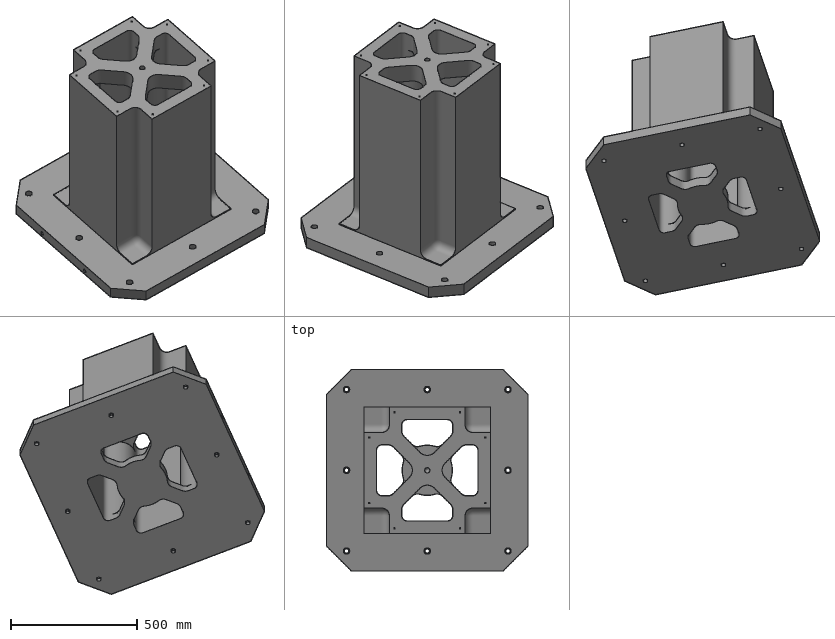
import cadquery as cq
import math

HEIGHT = 800.0
PLATE_SIZE = 800.0
PLATE_THICKNESS = 50.0
PLATE_CORNER = 100.0

COLUMN_SIZE = 500.0
NOTCH_SIZE = 100.0
NOTCH_RADIUS = 30.0
PAD_HEIGHT = 5.0

WALL = 50.0
CORNER_RADIUS = 20.0
INNER_BEND_RADIUS = 66.0
TOP_WEB = 75.0

RIB_WIDTH = 60.0
APEX_RADIUS = 40.0
SHOULDER_RADIUS = 30.0
HUB_DIAMETER = 200.0
HUB_FILLET = 30.0

MOUNT_OFFSET = 320.0
MOUNT_DIAMETER = 18.0
MOUNT_SINK_DIAMETER = 26.0
MOUNT_SINK_DEPTH = 25.0

DRILL_TIP_ANGLE = 118.0
CENTER_DIAMETER = 21.0
CENTER_DEPTH = 40.0
SIDE_DIAMETER = 14.0
SIDE_DEPTH = 40.0
SIDE_OFFSET = 135.0
SIDE_HEIGHT = 18.0
PIN_DIAMETER = 5.0
PIN_DEPTH = 20.0
PIN_EDGE_OFFSET = 20.0

QUARTER_TURNS = (0, 90, 180, 270)

column_half = COLUMN_SIZE / 2
arm_half = column_half - NOTCH_SIZE
cavity_half = column_half - WALL
cavity_arm_half = arm_half - WALL


def level(height):
    """Horizontal workplane at the given height."""
    return cq.Workplane("XY").workplane(offset=height)


def box(width, length, bottom, top):
    """Box centred on the Z axis between two heights."""
    return level(bottom).rect(width, length).extrude(top - bottom)


def four_times(solid):
    """The solid together with its copies at quarter turns about Z."""
    copies = cq.Workplane("XY")
    for angle in QUARTER_TURNS:
        copies = copies.add(solid.rotate((0, 0, 0), (0, 0, 1), angle))
    return copies.combine()


def make_plate():
    return box(PLATE_SIZE, PLATE_SIZE, 0, PLATE_THICKNESS).edges("|Z").chamfer(PLATE_CORNER)


def make_column():
    return box(COLUMN_SIZE, COLUMN_SIZE, PLATE_THICKNESS, HEIGHT)


def make_notch():
    """Cutter for the +X +Y column corner, rounded along its three inner edges."""
    start = (arm_half, arm_half, PLATE_THICKNESS + PAD_HEIGHT)
    reach = 2 * NOTCH_SIZE
    cutter = cq.Workplane("XY").box(reach, reach, HEIGHT, centered=False).translate(start)
    return cutter.edges("(<X and <Y) or (<X and <Z) or (<Y and <Z)").fillet(NOTCH_RADIUS)


def make_cavity():
    """Hollow between the two webs, with rounded ends and large inner bends."""
    bottom, top = PLATE_THICKNESS, HEIGHT - TOP_WEB
    arm_x = box(2 * cavity_half, 2 * cavity_arm_half, bottom, top)
    arm_y = box(2 * cavity_arm_half, 2 * cavity_half, bottom, top)
    arms = arm_x.edges("|Z").fillet(CORNER_RADIUS).union(arm_y.edges("|Z").fillet(CORNER_RADIUS))
    limit = (cavity_half + cavity_arm_half) / 2
    bends = cq.selectors.BoxSelector((-limit, -limit, 0), (limit, limit, HEIGHT))
    return arms.edges("|Z").edges(bends).fillet(INNER_BEND_RADIUS)


def make_window(bottom, top):
    """Window in the +X arm with a sharp apex towards the centre."""
    apex = RIB_WIDTH / math.sqrt(2)
    shoulder = apex + cavity_arm_half
    outline = [
        (apex, 0),
        (shoulder, -cavity_arm_half),
        (cavity_half, -cavity_arm_half),
        (cavity_half, cavity_arm_half),
        (shoulder, cavity_arm_half),
    ]
    window = level(bottom).polyline(outline).close().extrude(top - bottom)
    window = window.edges("|Z and (not <X) and (not >X)").fillet(SHOULDER_RADIUS)
    return window.edges("|Z and >X").fillet(CORNER_RADIUS)


def make_top_window():
    return make_window(HEIGHT - TOP_WEB, HEIGHT).edges("|Z and <X").fillet(APEX_RADIUS)


def make_bottom_window():
    """Window through the plate, stopped short at a round hub."""
    hub = level(0).circle(HUB_DIAMETER / 2).extrude(PLATE_THICKNESS)
    return make_window(0, PLATE_THICKNESS).cut(hub).edges("|Z and <X").fillet(HUB_FILLET)


def make_mount_holes():
    """Eight stepped holes, at the corners and side middles of a square."""
    spots = [(MOUNT_OFFSET, 0), (MOUNT_OFFSET, MOUNT_OFFSET)]
    holes = level(0).pushPoints(spots).circle(MOUNT_DIAMETER / 2).extrude(PLATE_THICKNESS)
    sink_level = level(PLATE_THICKNESS - MOUNT_SINK_DEPTH)
    sinks = sink_level.pushPoints(spots).circle(MOUNT_SINK_DIAMETER / 2).extrude(MOUNT_SINK_DEPTH)
    return four_times(holes.union(sinks))


def make_drilling(diameter, depth):
    """Blind hole going down from the origin, with a conical drill tip."""
    radius = diameter / 2
    tip = radius / math.tan(math.radians(DRILL_TIP_ANGLE / 2))
    profile = [(0, 0), (radius, 0), (radius, -depth), (0, -depth - tip)]
    return cq.Workplane("XZ").polyline(profile).close().revolve(360, (0, 0, 0), (0, 1, 0))


def make_center_hole():
    return make_drilling(CENTER_DIAMETER, CENTER_DEPTH).translate((0, 0, HEIGHT))


def make_side_holes():
    """Two holes drilled along +Y into the -Y edge of the plate."""
    hole = make_drilling(SIDE_DIAMETER, SIDE_DEPTH).rotate((0, 0, 0), (1, 0, 0), 90)
    left = hole.translate((-SIDE_OFFSET, -PLATE_SIZE / 2, SIDE_HEIGHT))
    right = hole.translate((SIDE_OFFSET, -PLATE_SIZE / 2, SIDE_HEIGHT))
    return left.add(right).combine()


def make_pin_holes():
    """Small holes beside the two outer corners of each column arm."""
    along = column_half - PIN_EDGE_OFFSET
    across = arm_half - PIN_EDGE_OFFSET
    spots = [(along, across), (along, -across)]
    holes = level(HEIGHT - PIN_DEPTH).pushPoints(spots).circle(PIN_DIAMETER / 2).extrude(PIN_DEPTH)
    return four_times(holes)


result = make_plate().union(make_column())
result = result.cut(four_times(make_notch()))
result = result.cut(make_cavity())
result = result.cut(four_times(make_top_window()))
result = result.cut(four_times(make_bottom_window()))
result = result.cut(make_mount_holes())
result = result.cut(make_center_hole())
result = result.cut(make_side_holes())
result = result.cut(make_pin_holes()).solids()